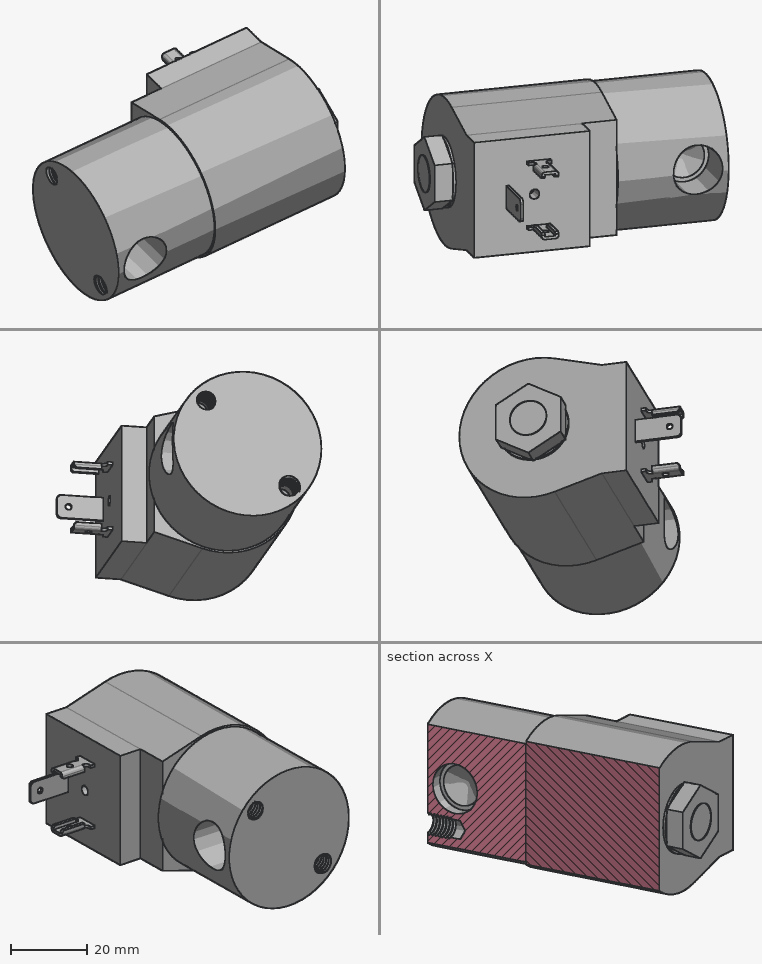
import cadquery as cq
import math


valve_radius = 19.8
valve_length = 30.4
port_y = 8.45
port_radius = 6.75
port_depth = 12.0
port_drill_radius = 5.6
drill_point_angle = 118

mount_offset = 11.1
mount_radius = 2.5
mount_depth = 10.0
thread_pitch = 1.0
thread_depth = 0.55
thread_length = 8.05
upper_thread_start = 0.55
lower_thread_start = -thread_pitch
thread_overlap = 0.1
thread_gap = 0.1

coil_radius = 20.3
coil_length = 41.2
coil_end_y = valve_length + coil_length
coil_flat_x = -18.4
socket_face_x = -25.0
socket_size = 31.8
socket_hole_y = 55.0
socket_hole_diameter = 2.6
socket_hole_depth = 4.65

total_length = 77.5
washer_radius = 9.45
washer_thickness = 0.7
disc_radius = 4.95
disc_thickness = 0.2
nut_width = 17.5
nut_y = coil_end_y + washer_thickness
nut_height = total_length - disc_thickness - nut_y

sheet = 0.8
blade_tip_x = -37.4
blade_y = 62.5
blade_width = 6.3
blade_corner = 1.2
blade_hole_x = -34.3
blade_hole_diameter = 1.6

clip_y = 53.95
clip_outer_z = 9.3
clip_tip_x = -35.1
clip_channel_end_x = -27.75
clip_foot_x = -26.35
clip_foot_width = 6.35
clip_channel_width = 4.65
clip_neck_width = 2.9
clip_neck_radius = 1.0
clip_flange_height = 1.8
clip_bend_radius = 0.9
clip_tip_chamfer = 0.55
clip_hole_x = -30.85
clip_hole_diameter = 1.7


def y_cylinder(radius, start_y, length):
    """Solid cylinder on the main axis."""
    return cq.Workplane("XZ", origin=(0, start_y, 0)).circle(radius).extrude(-length)


def drill_point(radius):
    """Depth of the conical bottom left by a drill."""
    return radius / math.tan(math.radians(drill_point_angle / 2))


def port_cutter():
    """Stepped port with a conical bottom, entering from -X on the port axis."""
    floor_x = -valve_radius + port_depth
    apex_x = floor_x + drill_point(port_drill_radius)
    return (
        cq.Workplane("XY")
        .moveTo(-valve_radius, 0)
        .lineTo(-valve_radius, port_radius)
        .lineTo(floor_x, port_radius)
        .lineTo(floor_x, port_drill_radius)
        .lineTo(apex_x, 0)
        .close()
        .revolve(360, (0, 0, 0), (1, 0, 0))
        .translate((0, port_y, 0))
    )


def mount_hole_cutter():
    """Blind drilled hole along +Y from the origin."""
    return (
        cq.Workplane("XY")
        .moveTo(0, 0)
        .lineTo(mount_radius, 0)
        .lineTo(mount_radius, mount_depth)
        .lineTo(0, mount_depth + drill_point(mount_radius))
        .close()
        .revolve(360, (0, 0, 0), (0, 1, 0))
    )


def thread_cutter(start_y):
    """Helical V groove along +Y around the mounting hole wall, beginning at start_y."""
    inner_radius = mount_radius - thread_overlap
    half_mouth = (thread_pitch - thread_gap) / 2
    helix = cq.Wire.makeHelix(
        thread_pitch, thread_length, mount_radius, cq.Vector(0, start_y, 0), cq.Vector(0, 1, 0)
    )
    start = helix.startPoint()
    radial = cq.Vector(start.x, 0, start.z).normalized()
    normal = radial.cross(cq.Vector(0, 1, 0))
    profile = cq.Workplane(cq.Plane((0, start_y, 0), radial, normal))
    groove = (
        profile
        .moveTo(inner_radius, -half_mouth)
        .lineTo(mount_radius + thread_depth, 0)
        .lineTo(inner_radius, half_mouth)
        .close()
    )
    return groove.sweep(cq.Workplane(obj=helix), isFrenet=True)


def make_valve_body():
    body = y_cylinder(valve_radius, 0, valve_length)
    port = port_cutter()
    body = body.cut(port).cut(port.mirror("YZ"))
    hole = mount_hole_cutter()
    for side, start_y in ((-1, upper_thread_start), (1, lower_thread_start)):
        thread = thread_cutter(start_y)
        place = (side * mount_offset, 0, -side * mount_offset)
        body = body.cut(hole.translate(place)).cut(thread.translate(place))
    return body


def make_coil_housing():
    """Round housing whose sides run tangentially out to a square socket pad."""
    half_socket = socket_size / 2
    corner_distance = math.hypot(coil_flat_x, half_socket)
    corner_angle = math.atan2(half_socket, coil_flat_x)
    tangent_angle = corner_angle - math.acos(coil_radius / corner_distance)
    tangent_x = coil_radius * math.cos(tangent_angle)
    tangent_z = coil_radius * math.sin(tangent_angle)
    housing = (
        cq.Workplane("XZ", origin=(0, valve_length, 0))
        .moveTo(coil_flat_x, half_socket)
        .lineTo(tangent_x, tangent_z)
        .threePointArc((coil_radius, 0), (tangent_x, -tangent_z))
        .lineTo(coil_flat_x, -half_socket)
        .close()
        .extrude(-coil_length)
    )
    pad = cq.Workplane("XY").box(
        coil_flat_x - socket_face_x, socket_size, socket_size, centered=(False, False, True)
    ).translate((socket_face_x, coil_end_y - socket_size, 0))
    screw_hole = (
        cq.Workplane("YZ", origin=(socket_face_x, socket_hole_y, 0))
        .circle(socket_hole_diameter / 2)
        .extrude(socket_hole_depth)
    )
    return housing.union(pad).cut(screw_hole)


def make_nut():
    """Washer, hexagon with two corners on the Z direction, and raised disc."""
    washer = y_cylinder(washer_radius, coil_end_y, washer_thickness)
    corner_diameter = nut_width / math.cos(math.pi / 6)
    hexagon = (
        cq.Workplane("XZ", origin=(0, nut_y, 0))
        .transformed(rotate=(0, 0, 90))
        .polygon(6, corner_diameter)
        .extrude(-nut_height)
    )
    disc = y_cylinder(disc_radius, nut_y + nut_height, disc_thickness)
    return washer.union(hexagon).union(disc)


def make_blade():
    """Flat ground terminal lying in the XZ plane."""
    length = socket_face_x - blade_tip_x
    blade = (
        cq.Workplane("XY")
        .box(length, sheet, blade_width, centered=(False, True, True))
        .translate((blade_tip_x, blade_y, 0))
        .edges("|Y and <X")
        .fillet(blade_corner)
    )
    hole = (
        cq.Workplane("XZ", origin=(blade_hole_x, blade_y - sheet, 0))
        .circle(blade_hole_diameter / 2)
        .extrude(-2 * sheet)
    )
    return blade.cut(hole)


def make_clip():
    """Upper channel terminal: waisted foot and a U channel open towards the main axis."""
    channel_length = clip_channel_end_x - clip_tip_x
    channel = (
        cq.Workplane("XY")
        .box(channel_length, clip_channel_width, clip_flange_height, centered=(False, True, False))
        .edges("|X and >Z")
        .fillet(clip_bend_radius)
        .edges("|Y and <X and <Z")
        .chamfer(clip_tip_chamfer)
    )
    groove_width = clip_channel_width - 2 * clip_bend_radius
    groove = cq.Workplane("XY").box(
        channel_length, groove_width, clip_flange_height - sheet, centered=(False, True, False)
    )
    channel = channel.cut(groove).translate((clip_tip_x, clip_y, clip_outer_z - clip_flange_height))

    foot_half = clip_foot_width / 2
    neck_half = clip_neck_width / 2
    neck_end_x = clip_foot_x - clip_neck_radius
    neck_arc = (clip_foot_x, neck_half + clip_neck_radius)
    foot = (
        cq.Workplane("XY", origin=(0, clip_y, clip_outer_z - sheet))
        .moveTo(clip_channel_end_x, neck_half)
        .lineTo(neck_end_x, neck_half)
        .radiusArc(neck_arc, -clip_neck_radius)
        .lineTo(clip_foot_x, foot_half)
        .lineTo(socket_face_x, foot_half)
        .lineTo(socket_face_x, -foot_half)
        .lineTo(clip_foot_x, -foot_half)
        .lineTo(clip_foot_x, -neck_arc[1])
        .radiusArc((neck_end_x, -neck_half), -clip_neck_radius)
        .lineTo(clip_channel_end_x, -neck_half)
        .close()
        .extrude(sheet)
    )
    hole = (
        cq.Workplane("XY", origin=(clip_hole_x, clip_y, 0))
        .circle(clip_hole_diameter / 2)
        .extrude(clip_outer_z)
    )
    return channel.union(foot).cut(hole)


def make_coil():
    clip = make_clip()
    coil = make_coil_housing().union(make_nut()).union(make_blade())
    return coil.union(clip).union(clip.mirror("XY"))


valve_body = make_valve_body()
coil = make_coil()

result = cq.Compound.makeCompound([valve_body.val(), coil.val()])